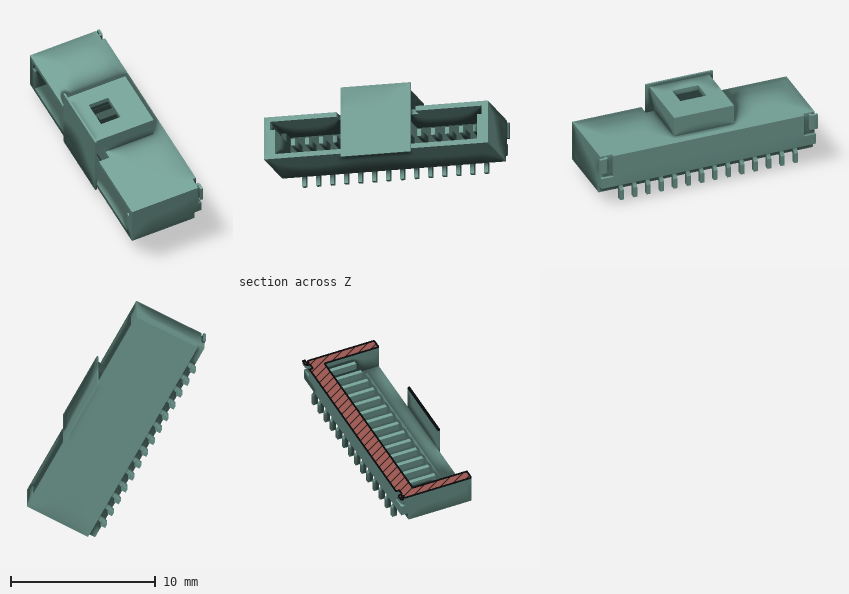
import cadquery as cq

shroud_width = 16.0
shroud_depth = 5.35
shroud_height = 3.02

cavity_width = 14.44
cavity_depth = 4.12
cavity_floor = 0.34
cavity_ceiling = 2.68
key_slot_width = 15.12
key_slot_bottom = 2.09
key_slot_depth = 3.0

step_width = 13.28
step_height = 0.575
step_setback = 1.15
rear_step_depth = 0.55

hood_width = 4.46
hood_depth = 4.5
hood_top = 4.5
hood_wall = 0.38
hood_lip = 0.25
hood_bevel_bottom = 3.43
hood_leg_setback = 0.8
mouth_width = 5.64
window_width = 1.95
window_front = 1.07
window_back = 2.56

contact_count = 14
contact_pitch = 1.0
contact_width = 0.28
blade_bottom = 1.5
blade_top = 1.99
blade_tip = 2.12
tail_bottom = -0.6
tail_thickness = 0.37
crank_rear_top = 0.44
crank_rear_bottom = 0.17
crank_front_top = 0.3
crank_front_bottom = 0.07

pocket_width = 0.88
pocket_depth = 0.25
pocket_bottom = 1.36
clip_bottom = 1.79
clip_top = 2.93
clip_thickness = 0.2
clip_bend_radius = 0.18
clip_inner = 7.52

plate_width = 5.0
plate_height = 4.98
plate_thickness = 0.13
plate_bottom = -0.25

overall_width = 16.24
overall_depth = 5.54
rear = overall_depth - plate_thickness


def block(width, y_front, y_back, z_bottom, z_top, x=0):
    """Box centred on x that spans the given y and z limits."""
    size = (width, y_back - y_front, z_top - z_bottom)
    return cq.Workplane("XY").box(*size, centered=(True, False, False)).translate((x, y_front, z_bottom))


def side_profile(points, width, x=0):
    """Extrude a (y, z) outline to a width centred on x."""
    return cq.Workplane("YZ").polyline(points).close().extrude(width / 2, both=True).translate((x, 0, 0))


def make_hood():
    outline = [
        (0, hood_top),
        (hood_depth, hood_top),
        (hood_depth, cavity_ceiling),
        (hood_leg_setback, cavity_ceiling),
        (hood_leg_setback, hood_bevel_bottom),
        (0, hood_top - hood_lip),
    ]
    return side_profile(outline, hood_width)


def make_shroud():
    shroud = block(shroud_width, 0, shroud_depth, 0, shroud_height)
    shroud = shroud.cut(block(mouth_width, 0, hood_leg_setback, cavity_ceiling, shroud_height))
    shroud = shroud.union(make_hood())

    shroud = shroud.cut(block(cavity_width, 0, cavity_depth, cavity_floor, cavity_ceiling))
    shroud = shroud.cut(block(key_slot_width, 0, key_slot_depth, key_slot_bottom, cavity_ceiling))
    hood_hollow_width = hood_width - 2 * hood_wall
    shroud = shroud.cut(block(hood_hollow_width, 0, cavity_depth, cavity_ceiling, hood_top - hood_wall))
    shroud = shroud.cut(block(window_width, window_front, window_back, hood_top - hood_wall, hood_top))

    shroud = shroud.union(block(step_width, step_setback, cavity_depth, cavity_floor, step_height))
    rear_step_front = shroud_depth - rear_step_depth
    shroud = shroud.cut(block(shroud_width, rear_step_front, shroud_depth, 0, step_height))

    pocket_x = (shroud_width - pocket_width) / 2
    pocket_front = shroud_depth - pocket_depth
    for side in (-1, 1):
        pocket = block(pocket_width, pocket_front, shroud_depth, pocket_bottom, shroud_height, side * pocket_x)
        shroud = shroud.cut(pocket)
    return shroud


def make_contact(x):
    """Return the blade inside the cavity and the cranked tail below the rear step."""
    blade = block(contact_width, blade_tip, cavity_depth, blade_bottom, blade_top, x)
    crank_front = shroud_depth - rear_step_depth
    crank_rear = crank_front + tail_thickness
    tail_front = rear - tail_thickness
    tail = side_profile(
        [
            (crank_front, step_height),
            (crank_rear, step_height),
            (crank_rear, crank_rear_top),
            (rear, crank_rear_bottom),
            (rear, tail_bottom),
            (tail_front, tail_bottom),
            (tail_front, crank_front_bottom),
            (crank_front, crank_front_top),
        ],
        contact_width,
        x,
    )
    return blade, tail


def make_clip():
    """Solder clip of the -X corner: an L-shaped strip that leaves the pocket wall and turns outward."""
    clip_outer = overall_width / 2
    pocket_front = shroud_depth - pocket_depth
    leg_outer = clip_inner + clip_thickness
    strip = (
        cq.Workplane("XY", origin=(0, 0, clip_bottom))
        .moveTo(-clip_outer, rear)
        .lineTo(-clip_inner - clip_bend_radius, rear)
        .radiusArc((-clip_inner, rear - clip_bend_radius), clip_bend_radius)
        .lineTo(-clip_inner, pocket_front)
        .lineTo(-leg_outer, pocket_front)
        .lineTo(-leg_outer, rear - clip_thickness)
        .lineTo(-clip_outer, rear - clip_thickness)
        .close()
    )
    return strip.extrude(clip_top - clip_bottom)


connector = make_shroud()
for index in range(contact_count):
    contact_x = (index - (contact_count - 1) / 2) * contact_pitch
    for section in make_contact(contact_x):
        connector = connector.union(section)
left_clip = make_clip()
connector = connector.union(left_clip).union(left_clip.mirror("YZ"))

pickup_plate = block(plate_width, -plate_thickness, 0, plate_bottom, plate_bottom + plate_height)

result = cq.Compound.makeCompound([connector.val(), pickup_plate.val()])